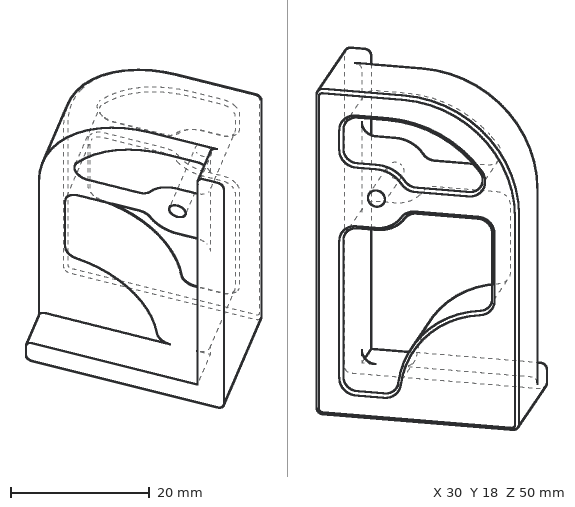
import cadquery as cq
import math

WIDTH = 30.0
DEPTH = 18.0
HEIGHT = 50.0

CROWN_RADIUS = 17.0
CORNER_RADIUS = 1.0
BACK_CHAMFER = 0.5

WALL = 4.0
LIP_DEPTH = 6.0

BOSS_X = 21.0
BOSS_Z = 34.0
BOSS_RADIUS = 5.0
HOLE_DIAMETER = 2.5

WINDOW_FILLET = 2.0
WINDOW_RIGHT = WIDTH - WALL
WINDOW_TOP = HEIGHT - WALL
GUSSET_RADIUS = 14.0

VAULT_RADIUS = 17.0
VAULT_X = 19.4


def section_plane():
    """XZ workplane on the front face; negative extrusions run back toward +Y."""
    return cq.Workplane("XZ")


def make_body():
    """Full-depth block with the crown and the small outer corners."""
    block = section_plane().rect(WIDTH, HEIGHT, centered=False).extrude(-DEPTH)
    block = block.edges("|Y and <X and >Z").fillet(CROWN_RADIUS)
    return block.edges("|Y and (>X or <Z)").fillet(CORNER_RADIUS)


def make_front_recess():
    """Space in front of the frame, inside the L-shaped lip."""
    lip_inside_x = WIDTH - WALL
    return (
        section_plane()
        .moveTo(0, WALL - CORNER_RADIUS)
        .radiusArc((CORNER_RADIUS, WALL), CORNER_RADIUS)
        .lineTo(lip_inside_x, WALL)
        .lineTo(lip_inside_x, HEIGHT - CORNER_RADIUS)
        .radiusArc((lip_inside_x + CORNER_RADIUS, HEIGHT), CORNER_RADIUS)
        .lineTo(0, HEIGHT)
        .close()
        .extrude(-LIP_DEPTH)
    )


def make_crossbar():
    """Bar across the frame, with a round-ended boss at its right end."""
    bar = section_plane().center(WIDTH / 2, BOSS_Z).rect(WIDTH, WALL).extrude(-DEPTH)
    boss = section_plane().center(BOSS_X, BOSS_Z).circle(BOSS_RADIUS).extrude(-DEPTH)
    boss_root = (
        section_plane()
        .center((BOSS_X + WIDTH) / 2, BOSS_Z)
        .rect(WIDTH - BOSS_X, 2 * BOSS_RADIUS)
        .extrude(-DEPTH)
    )
    return bar.union(boss).union(boss_root)


def edges_near(x, z):
    """Selector for depth-wise edges that pass through the point (x, z)."""
    gap = 0.1
    return cq.selectors.BoxSelector((x - gap, 0, z - gap), (x + gap, DEPTH, z + gap))


def round_corners(opening, smooth_joints):
    """Fillet the depth-wise edges of an opening, except at joints that are already tangent."""
    corners = cq.selectors.StringSyntaxSelector("|Y")
    for x, z in smooth_joints:
        corners = corners - edges_near(x, z)
    return opening.edges(corners).fillet(WINDOW_FILLET)


def make_lower_window():
    """Opening below the crossbar, bounded by the gusset at the bottom left."""
    opening = (
        section_plane()
        .moveTo(WALL, WALL)
        .lineTo(WINDOW_RIGHT, WALL)
        .lineTo(WINDOW_RIGHT, BOSS_Z)
        .lineTo(WALL, BOSS_Z)
        .close()
        .extrude(-DEPTH)
    )
    gusset = section_plane().center(WALL, WALL).circle(GUSSET_RADIUS).extrude(-DEPTH)
    opening = opening.cut(make_crossbar()).cut(gusset)
    return round_corners(opening, [(BOSS_X, BOSS_Z - BOSS_RADIUS)])


def make_upper_window():
    """Opening above the crossbar with a curved ceiling."""
    vault_center_z = WINDOW_TOP - VAULT_RADIUS
    vault_left = VAULT_X - math.sqrt(VAULT_RADIUS**2 - (BOSS_Z - vault_center_z) ** 2)
    opening = (
        section_plane()
        .moveTo(vault_left, BOSS_Z)
        .radiusArc((VAULT_X, WINDOW_TOP), VAULT_RADIUS)
        .lineTo(WINDOW_RIGHT, WINDOW_TOP)
        .lineTo(WINDOW_RIGHT, BOSS_Z)
        .close()
        .extrude(-DEPTH)
    )
    opening = opening.cut(make_crossbar())
    return round_corners(opening, [(BOSS_X, BOSS_Z + BOSS_RADIUS), (VAULT_X, WINDOW_TOP)])


def make_hole():
    """Through hole in the middle of the boss."""
    return section_plane().center(BOSS_X, BOSS_Z).circle(HOLE_DIAMETER / 2).extrude(-DEPTH)


frame = make_body().cut(make_lower_window()).cut(make_upper_window())
frame = frame.faces(">Y").edges().chamfer(BACK_CHAMFER)
result = frame.cut(make_front_recess()).cut(make_hole())